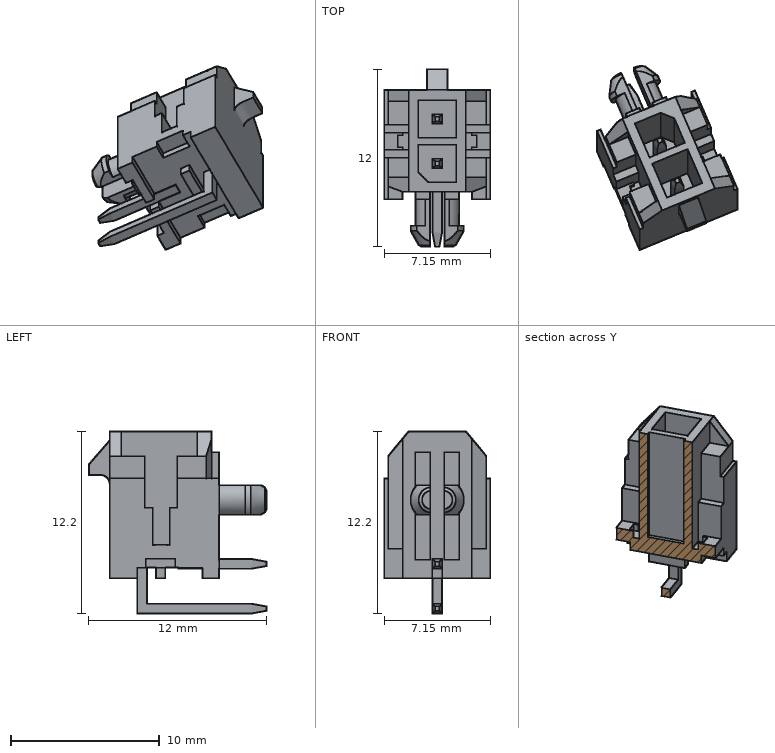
import cadquery as cq


body_half_width = 3.31
core_half_width = 1.93
body_depth = 6.85
body_height = 9.88
shoulder_height = 8.22
rear_wedge_depth = 0.77
front_wedge_depth = 0.98
corner_half_width = 2.33
corner_chamfer_depth = 0.37

overall_half_width = 3.575
front_step = 0.5
plate_height = 6.72
foot_height = 1.98

slot_centre_y = -3.45
wide_slot_width = 2.2
wide_slot_floor = 4.74
narrow_slot_width = 1.14
narrow_slot_floor = 2.25
well_depth = 0.5
well_inner_half_width = 2.33
well_outer_half_width = 2.65
well_width = 0.82

relief_rear_y = -1.85
relief_front_y = -6.23
relief_height = 0.72
window_width = 1.98
window_height = 1.31
window_depth = 1.0
tab_length = 2.58
tab_width = 0.64

pitch = 3.0
rear_contact_y = -1.95
contact_rows = [rear_contact_y, rear_contact_y - pitch]
cavity_length_x = 2.58
cavity_length_y = 2.53
cavity_floor = 2.0
key_chamfer = 0.7
pin_size = 0.66
pin_tip_size = 0.3
pin_taper = 0.98
mating_pin_base = 1.31
mating_pin_top = 7.5
tail_end_y = -10.55
tail_centres_z = [-2.03, 0.98]
rear_riser_y = relief_rear_y - pin_size / 2

latch_width = 1.4
latch_reach = 1.4
latch_top = 9.28
latch_nose_top = 7.67
latch_nose_bottom = 6.95
latch_root_radius = 0.64

rib_inner_x = 0.474
rib_outer_x = 1.47
rib_bottom = 1.25
rib_top = 8.49
peg_centre_x = 0.40
peg_centre_z = 5.28
peg_height = 2.0
peg_shank_radius = 1.08
peg_head_radius = 1.39
peg_nose_radius = 0.85
peg_tip_radius = 0.62
peg_head_y = -9.12
peg_cone_y = -9.48
peg_nose_y = -10.43


def block(x_range, y_range, z_range):
    """Axis-aligned box given by its (low, high) limits on each axis."""
    limits = (x_range, y_range, z_range)
    sizes = [high - low for low, high in limits]
    corner = tuple(low for low, high in limits)
    return cq.Workplane("XY").box(*sizes, centered=False).translate(corner)


def both_sides(half):
    """A shape on the +X side together with its mirror image."""
    return half.union(half.mirror("YZ"))


def span(centre, width):
    return (centre - width / 2, centre + width / 2)


def make_body():
    """Housing block with sloped shoulders, clipped at its front corners."""
    profile = [
        (-body_half_width, 0),
        (body_half_width, 0),
        (body_half_width, shoulder_height),
        (core_half_width, body_height),
        (-core_half_width, body_height),
        (-body_half_width, shoulder_height),
    ]
    body = cq.Workplane("XZ").polyline(profile).close().extrude(body_depth)
    shoulder_pocket = block(
        (core_half_width, body_half_width),
        (front_wedge_depth - body_depth, -rear_wedge_depth),
        (shoulder_height, body_height),
    )
    body = body.cut(both_sides(shoulder_pocket))
    plan = [
        (-body_half_width, 0),
        (body_half_width, 0),
        (body_half_width, corner_chamfer_depth - body_depth),
        (corner_half_width, -body_depth),
        (-corner_half_width, -body_depth),
        (-body_half_width, corner_chamfer_depth - body_depth),
    ]
    return body.intersect(cq.Workplane("XY").polyline(plan).close().extrude(body_height))


def make_side_plates():
    """Thin outer plates and the feet that stand out in front of them."""
    front_y = -body_depth - front_step
    plate = block((body_half_width, overall_half_width), (front_y, 0), (0, plate_height))
    foot = block(
        (corner_half_width, overall_half_width),
        (front_y, corner_chamfer_depth - body_depth),
        (0, foot_height),
    )
    return both_sides(plate.union(foot))


def make_flank_slots():
    """Stepped slots in the flanks, each with a small well in its floor."""
    slot_x = (core_half_width, overall_half_width)
    wide = block(slot_x, span(slot_centre_y, wide_slot_width), (wide_slot_floor, shoulder_height))
    narrow_y = span(slot_centre_y, narrow_slot_width)
    narrow = block(slot_x, narrow_y, (narrow_slot_floor, wide_slot_floor))
    well_z = (narrow_slot_floor - well_depth, narrow_slot_floor)
    well = block((core_half_width, well_inner_half_width), narrow_y, well_z)
    well_bay = block(
        (well_inner_half_width, well_outer_half_width), span(slot_centre_y, well_width), well_z
    )
    return both_sides(wide.union(narrow).union(well).union(well_bay))


def make_underside_relief():
    """Channel across the underside, broken by a central tab, with a window at each end."""
    relief_x = (-overall_half_width, overall_half_width)
    centre_y = -body_depth / 2
    channel = block(relief_x, (relief_front_y, relief_rear_y), (0, relief_height))
    tab = block(span(0, tab_length), span(centre_y, tab_width), (0, relief_height))
    window = block(
        (overall_half_width - window_depth, overall_half_width),
        span(centre_y, window_width),
        (relief_height, window_height),
    )
    return channel.cut(tab).union(both_sides(window))


def make_cavities():
    """Contact cavities; the front one has a keyed corner."""
    height = body_height - cavity_floor
    rear_y, front_y = contact_rows
    base = cq.Workplane("XY").workplane(offset=cavity_floor)
    rear = base.center(0, rear_y).rect(cavity_length_x, cavity_length_y).extrude(height)
    front = base.center(0, front_y).rect(cavity_length_x, cavity_length_y).extrude(height)
    front = front.edges("|Z and <X and <Y").chamfer(key_chamfer)
    return rear.union(front)


def make_pin(length):
    """Square pin rising along +Z from the origin, tapered at its top end."""
    shank = cq.Workplane("XY").rect(pin_size, pin_size).extrude(length - pin_taper)
    tip = (
        cq.Workplane("XY")
        .workplane(offset=length - pin_taper)
        .rect(pin_size, pin_size)
        .workplane(offset=pin_taper)
        .rect(pin_tip_size, pin_tip_size)
        .loft(ruled=True)
    )
    return shank.union(tip)


def make_contact(mating_y, riser_y, tail_z):
    """Mating pin, riser through the housing floor and tail towards the board."""
    mating_pin = make_pin(mating_pin_top - mating_pin_base).translate((0, mating_y, mating_pin_base))
    riser_bottom = tail_z - pin_size / 2
    riser = block(span(0, pin_size), span(riser_y, pin_size), (riser_bottom, cavity_floor))
    tail = make_pin(riser_y - tail_end_y).rotate((0, 0, 0), (1, 0, 0), 90)
    return mating_pin.union(riser).union(tail.translate((0, riser_y, tail_z)))


def make_tail_slot():
    """Slot through the front wall below the upper tail, open to the underside."""
    upper_tail_z = max(tail_centres_z)
    return block(span(0, pin_size), (-body_depth, relief_front_y), (0, upper_tail_z))


def make_latch():
    """Latch ramp on the rear face with a rounded root underneath."""
    diagonal = latch_root_radius * 0.5 ** 0.5
    arc_centre_z = latch_nose_bottom - latch_root_radius
    return (
        cq.Workplane("YZ")
        .moveTo(0, latch_top)
        .lineTo(latch_reach, latch_nose_top)
        .lineTo(latch_reach, latch_nose_bottom)
        .lineTo(latch_root_radius, latch_nose_bottom)
        .threePointArc((latch_root_radius - diagonal, arc_centre_z + diagonal), (0, arc_centre_z))
        .close()
        .extrude(latch_width / 2, both=True)
    )


def make_ribs_and_peg():
    """Front ribs and the split snap peg, one half of which grows from each rib."""
    rib_face_y = -body_depth - front_step
    rib = block((rib_inner_x, rib_outer_x), (rib_face_y, -body_depth), (rib_bottom, rib_top))
    half_profile = [
        (0, rib_face_y),
        (peg_shank_radius, rib_face_y),
        (peg_shank_radius, peg_head_y),
        (peg_head_radius, peg_head_y),
        (peg_head_radius, peg_cone_y),
        (peg_nose_radius, peg_nose_y),
        (peg_tip_radius, tail_end_y),
        (0, tail_end_y),
    ]
    peg = cq.Workplane("XY").polyline(half_profile).close().revolve(360, (0, 0, 0), (0, 1, 0))
    peg = peg.translate((peg_centre_x, 0, peg_centre_z))
    envelope = block(
        (rib_inner_x, peg_centre_x + peg_head_radius),
        (tail_end_y, rib_face_y),
        span(peg_centre_z, peg_height),
    )
    return both_sides(rib.union(peg.intersect(envelope)))


housing = make_body().union(make_side_plates())
housing = housing.cut(make_flank_slots()).cut(make_underside_relief()).cut(make_cavities())
housing = housing.cut(make_tail_slot())
housing = housing.union(make_latch()).union(make_ribs_and_peg())

riser_rows = [rear_riser_y, contact_rows[1]]
result = housing
for mating_y, riser_y, tail_z in zip(contact_rows, riser_rows, tail_centres_z):
    result = result.union(make_contact(mating_y, riser_y, tail_z))